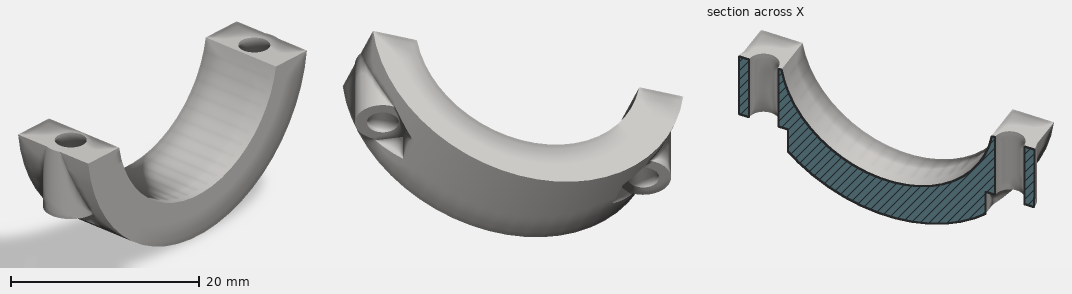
import cadquery as cq
import math

width = 10.0
outer_radius = 17.5
inner_radius = 12.65
axis_height = 2.07

overall_length = 35.1
boss_radius = 2.95
boss_height = 7.95
hole_diameter = 3.4
screw_offset = overall_length / 2 - boss_radius

nut_across_flats = 5.7
nut_across_corners = nut_across_flats / math.cos(math.pi / 6)

ring_bottom = outer_radius - axis_height


def ring_cylinder(radius):
    """Cylinder on the ring axis, running along X and centred on X = 0."""
    return (
        cq.Workplane("YZ")
        .center(0, axis_height)
        .circle(radius)
        .extrude(width / 2, both=True)
    )


def at_screws(depth):
    """Horizontal plane at the given depth with a point on each screw axis."""
    points = [(0, -screw_offset), (0, screw_offset)]
    return cq.Workplane("XY").workplane(offset=-depth).pushPoints(points)


below_split = cq.Workplane("XY").box(
    width, overall_length, ring_bottom, centered=(True, True, False)
).translate((0, 0, -ring_bottom))
body = ring_cylinder(outer_radius).intersect(below_split)
bosses = at_screws(boss_height).circle(boss_radius).extrude(boss_height)

screw_holes = at_screws(ring_bottom).circle(hole_diameter / 2).extrude(ring_bottom)
nut_seats = at_screws(ring_bottom).polygon(6, nut_across_corners).extrude(ring_bottom - boss_height)

result = (
    body.union(bosses)
    .cut(ring_cylinder(inner_radius))
    .cut(screw_holes)
    .cut(nut_seats)
)